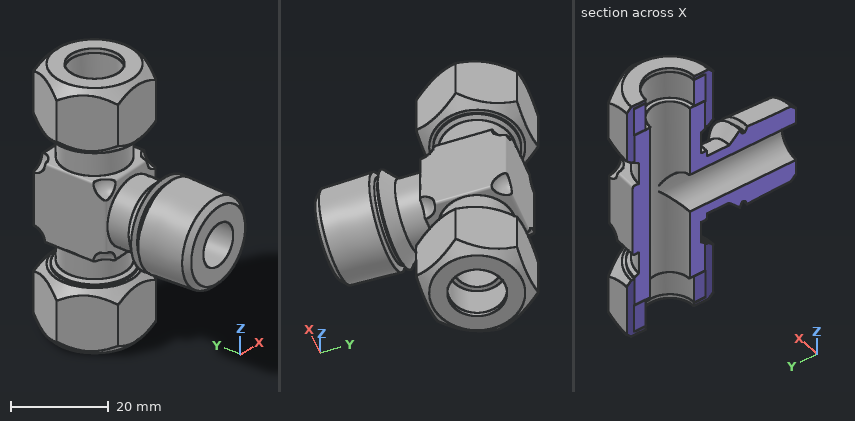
import cadquery as cq
import math

OVERALL_HEIGHT = 63.0
RUN_END = OVERALL_HEIGHT / 2
BORE_RADIUS = 5.0
NECK_DIAMETER = 15.95
NECK_RADIUS = NECK_DIAMETER / 2

BLOCK_WIDTH = 17.0
BLOCK_SIDE = 19.0
BLOCK_FILLET = 0.6
CORNER_SCOOP_RADIUS = 3.3

NUT_ACROSS_FLATS = 22.0
NUT_ACROSS_CORNERS = NUT_ACROSS_FLATS / math.cos(math.pi / 6)
NUT_LENGTH = 15.5
NUT_FACE_RADIUS = 9.8
NUT_LIP = 1.1
TUBE_RADIUS = 6.1
NUT_INNER_END = RUN_END - NUT_LENGTH

COLLAR_RADIUS = 9.0
COLLAR_START = 15.0
COLLAR_BEVEL = 0.6
SOCKET_DEPTH = 8.1
COLLAR_END = RUN_END - SOCKET_DEPTH

BRANCH_LENGTH = 32.0
BRANCH_RADIUS = 10.7
SHOULDER_START = 15.0
GROOVE_DEPTH = 1.25
GROOVE_FLOOR_START = 18.35
GROOVE_FLOOR_END = 18.95
THREAD_START = 19.6
TIP_CHAMFER = 1.3
THREAD_TAPER = 1 / 32


def revolve_profile(points):
    """Revolve an outline of (radius, height) points around the Z axis."""
    return cq.Workplane("XZ").polyline(points).close().revolve(360, (0, 0, 0), (0, 1, 0))


def mirror_down(body):
    return body.mirror("XY")


def make_scoop(corner):
    """Ball centred on a block corner, with its seam turned to the outside of the block."""
    outward_angle = math.degrees(math.atan2(corner.y, corner.x))
    ball = cq.Workplane("XY").sphere(CORNER_SCOOP_RADIUS)
    return ball.rotate((0, 0, 0), (0, 0, 1), outward_angle).translate(corner.toTuple())


def make_block():
    """Block with rounded edges and a spherical scoop at each corner."""
    block = cq.Workplane("XY").box(BLOCK_WIDTH, BLOCK_SIDE, BLOCK_SIDE)
    corners = block.vertices().vals()
    block = block.edges().fillet(BLOCK_FILLET)
    for corner in corners:
        block = block.cut(make_scoop(corner.Center()))
    return block


def make_run_arm():
    """Neck and threaded collar above the block."""
    return revolve_profile([
        (0, 0),
        (NECK_RADIUS, 0),
        (NECK_RADIUS, COLLAR_START),
        (COLLAR_RADIUS, COLLAR_START + COLLAR_BEVEL),
        (COLLAR_RADIUS, COLLAR_END),
        (0, COLLAR_END),
    ])


def make_branch():
    """Neck, conical shoulder, groove and tapered thread, turned from +Z to -Y."""
    shoulder_end = SHOULDER_START + BRANCH_RADIUS - NECK_RADIUS
    groove_radius = BRANCH_RADIUS - GROOVE_DEPTH
    chamfer_start = BRANCH_LENGTH - TIP_CHAMFER
    thread_end_radius = BRANCH_RADIUS - THREAD_TAPER * (chamfer_start - THREAD_START)
    branch = revolve_profile([
        (0, 0),
        (NECK_RADIUS, 0),
        (NECK_RADIUS, SHOULDER_START),
        (BRANCH_RADIUS, shoulder_end),
        (groove_radius, GROOVE_FLOOR_START),
        (groove_radius, GROOVE_FLOOR_END),
        (BRANCH_RADIUS, THREAD_START),
        (thread_end_radius, chamfer_start),
        (thread_end_radius - TIP_CHAMFER, BRANCH_LENGTH),
        (0, BRANCH_LENGTH),
    ])
    return branch.rotate((0, 0, 0), (1, 0, 0), 90)


def make_tee():
    run_arm = make_run_arm()
    tee = make_block().union(run_arm).union(mirror_down(run_arm)).union(make_branch())
    run_bore = cq.Workplane("XY").circle(BORE_RADIUS).extrude(COLLAR_END, both=True)
    branch_bore = cq.Workplane("XZ").circle(BORE_RADIUS).extrude(BRANCH_LENGTH)
    return tee.cut(run_bore).cut(branch_bore)


def make_nut():
    """Upper hexagon nut, turned down to a cone at both ends."""
    nut = (
        cq.Workplane("XY", origin=(0, 0, NUT_INNER_END))
        .polygon(6, NUT_ACROSS_CORNERS)
        .extrude(NUT_LENGTH)
    )
    corner_radius = NUT_ACROSS_CORNERS / 2
    cone_height = corner_radius - NUT_FACE_RADIUS
    turned_envelope = revolve_profile([
        (0, NUT_INNER_END),
        (NUT_FACE_RADIUS, NUT_INNER_END),
        (corner_radius, NUT_INNER_END + cone_height),
        (corner_radius, RUN_END - cone_height),
        (NUT_FACE_RADIUS, RUN_END),
        (0, RUN_END),
    ])
    tube_hole = cq.Workplane("XY").circle(TUBE_RADIUS).extrude(RUN_END)
    thread_hole = cq.Workplane("XY").circle(COLLAR_RADIUS).extrude(RUN_END - NUT_LIP)
    return nut.intersect(turned_envelope).cut(tube_hole).cut(thread_hole)


def make_ring():
    """Upper sealing ring, held between the tee's end face and the nut's lip."""
    return (
        cq.Workplane("XY", origin=(0, 0, COLLAR_END))
        .circle(COLLAR_RADIUS)
        .circle(TUBE_RADIUS)
        .extrude(RUN_END - NUT_LIP - COLLAR_END)
    )


tee = make_tee()
bodies = [tee.val()]
for upper_body in (make_nut(), make_ring()):
    bodies.append(upper_body.val())
    bodies.append(mirror_down(upper_body).val())

result = cq.Compound.makeCompound(bodies)